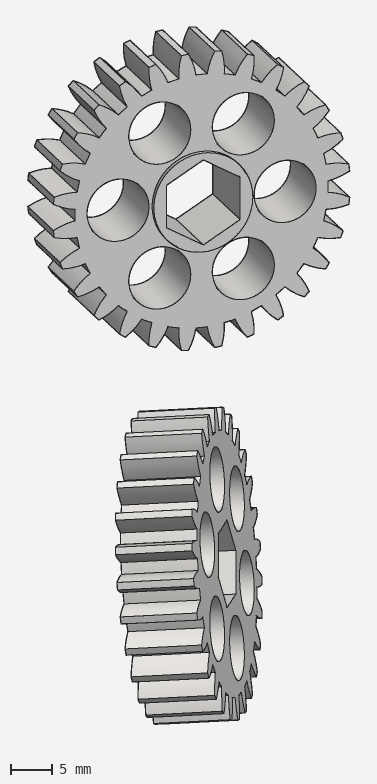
import cadquery as cq
import math

gear_width = 9.53
boss_height = 0.65
boss_diameter = 12.68

tooth_count = 28
tip_radius = 19.05
root_radius = 16.2
flank_mid_radius = (tip_radius + root_radius) / 2
tooth_half_width_root = 1.1
tooth_half_width_mid = 0.9
tooth_half_width_tip = 0.45

hex_sides = 6
hex_across_flats = 9.4
hole_count = 6
hole_diameter = 7.95
hole_circle_radius = 10.7

tooth_pitch_angle = 2 * math.pi / tooth_count


def polar_point(radius, angle):
    """Point in the YZ plane, angle measured from +Y towards +Z."""
    return (radius * math.cos(angle), radius * math.sin(angle))


def gear_outline():
    """Closed tooth outline with a gap centred on the +Y axis."""
    root_angle = math.asin(tooth_half_width_root / root_radius)
    mid_angle = math.asin(tooth_half_width_mid / flank_mid_radius)
    tip_angle = math.asin(tooth_half_width_tip / tip_radius)

    first_root = polar_point(root_radius, tooth_pitch_angle / 2 - root_angle)
    outline = cq.Workplane("YZ").moveTo(*first_root)
    for tooth in range(tooth_count):
        center = (tooth + 0.5) * tooth_pitch_angle
        gap_center = center + tooth_pitch_angle / 2
        next_root = center + tooth_pitch_angle - root_angle
        outline = (
            outline
            .threePointArc(polar_point(flank_mid_radius, center - mid_angle),
                           polar_point(tip_radius, center - tip_angle))
            .threePointArc(polar_point(tip_radius, center),
                           polar_point(tip_radius, center + tip_angle))
            .threePointArc(polar_point(flank_mid_radius, center + mid_angle),
                           polar_point(root_radius, center + root_angle))
            .threePointArc(polar_point(root_radius, gap_center),
                           polar_point(root_radius, next_root))
        )
    return outline.close()


def hex_bore(length):
    """Hexagonal prism with two corners on the Z axis."""
    across_corners = hex_across_flats / math.cos(math.pi / hex_sides)
    turn_corner_to_z = 90
    return (
        cq.Workplane("YZ")
        .polygon(hex_sides, across_corners)
        .extrude(length)
        .rotate((0, 0, 0), (1, 0, 0), turn_corner_to_z)
    )


def lightening_holes(length):
    """Ring of round holes, the first one on the +Y axis."""
    return (
        cq.Workplane("YZ")
        .polarArray(hole_circle_radius, 0, 360, hole_count)
        .circle(hole_diameter / 2)
        .extrude(length)
    )


total_length = gear_width + boss_height

gear = gear_outline().extrude(gear_width)
boss = cq.Workplane("YZ").circle(boss_diameter / 2).extrude(total_length)

result = gear.union(boss).cut(lightening_holes(total_length)).cut(hex_bore(total_length))